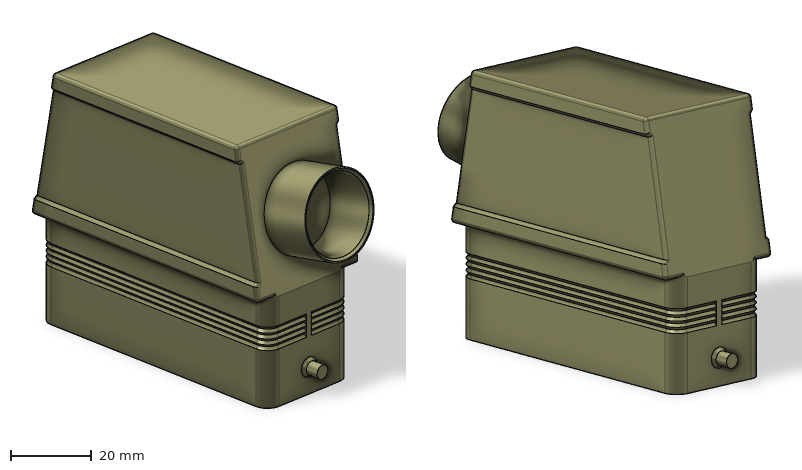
import cadquery as cq
import math

total_length = 96.8

body_length = 79.4
body_width = 29.4
body_corner_radius = 4.0

hood_width = 36.0
hood_bottom_z = 30.0
total_height = 70.5
end_lean_angle = 10.6
hood_edge_radius = 1.0
hood_height = total_height - hood_bottom_z
hood_top_length = body_length - 2 * hood_height * math.tan(math.radians(end_lean_angle))

recess_depth = 0.9
recess_bottom_z = 34.3
recess_top_z = 66.3

groove_count = 4
groove_band_height = 6.4
groove_pitch = groove_band_height / groove_count
groove_depth = 0.7
groove_band_top_z = 22.1
groove_gap_width = 1.8

pin_diameter = 3.8
pin_length = 4.6
pin_z = 7.4
pin_collar_diameter = 5.4
pin_collar_length = 0.9

entry_diameter = 24.1
entry_bore_diameter = 22.0
entry_length = 19.4
entry_mouth_chamfer = 0.7
entry_chamfer_angle = 45
entry_reach_x = total_length - body_length / 2 - pin_length
entry_mouth_x = entry_reach_x - entry_diameter / 2 * math.sin(math.radians(end_lean_angle))
entry_mouth_z = 52.0


def leaning_prism(width):
    """Trapezoid of the hood as seen along Y, extruded symmetrically to a width."""
    return (
        cq.Workplane("XZ")
        .moveTo(-body_length / 2, hood_bottom_z)
        .lineTo(body_length / 2, hood_bottom_z)
        .lineTo(hood_top_length / 2, total_height)
        .lineTo(-hood_top_length / 2, total_height)
        .close()
        .extrude(width / 2, both=True)
    )


def body_block(height, flank_angle=0):
    """Block on Z = 0 with the rounded body outline, its sides leaning inwards by an angle."""
    outline = (
        cq.Sketch()
        .rect(body_length, body_width)
        .vertices()
        .fillet(body_corner_radius)
        .reset()
    )
    return cq.Workplane("XY").placeSketch(outline).extrude(height, taper=flank_angle)


def make_hood():
    """Leaning prism with a recess on each long side and rounded outer edges."""
    hood = leaning_prism(hood_width)
    outer_y = hood_width / 2
    inner_y = outer_y - recess_depth
    for side in (-1, 1):
        recess = (
            cq.Workplane("YZ")
            .moveTo(side * outer_y, recess_bottom_z)
            .lineTo(side * inner_y, recess_bottom_z + recess_depth)
            .lineTo(side * inner_y, recess_top_z - recess_depth)
            .lineTo(side * outer_y, recess_top_z)
            .close()
            .extrude(body_length, both=True)
        )
        hood = hood.cut(recess)
    end_edges = hood.faces("<X or >X").edges()
    cap_edges = hood.faces("<Z or >Z").edges("|X")
    return hood.newObject(end_edges.vals() + cap_edges.vals()).fillet(hood_edge_radius)


def make_body():
    """Body block, continued a little into the hood so that the ends meet it without a gap."""
    neck = body_block(recess_bottom_z).intersect(leaning_prism(hood_width))
    return body_block(hood_bottom_z).union(neck)


def groove_ring(top_z):
    """Ring that cuts one V-shaped groove, following the body outline."""
    half_pitch = groove_pitch / 2
    flank_angle = math.degrees(math.atan2(groove_depth, half_pitch))
    upper_core = body_block(half_pitch, flank_angle).mirror("XY").translate((0, 0, groove_pitch))
    core = body_block(half_pitch, flank_angle).union(upper_core)
    return body_block(groove_pitch).cut(core).translate((0, 0, top_z - groove_pitch))


def make_grooves():
    """All the grooves of the band, left uncut in the middle of each short end."""
    gap = cq.Workplane("XY").box(2 * body_length, groove_gap_width, 2 * total_height)
    grooves = groove_ring(groove_band_top_z)
    for index in range(1, groove_count):
        grooves = grooves.add(groove_ring(groove_band_top_z - index * groove_pitch))
    return grooves.combine().cut(gap)


def make_pin():
    """Pin on the +X end, with a conical collar at its root; both start inside the body."""
    end_x = body_length / 2
    return (
        cq.Workplane("XZ")
        .moveTo(0, 0)
        .lineTo(0, pin_collar_diameter / 2)
        .lineTo(end_x, pin_collar_diameter / 2)
        .lineTo(end_x + pin_collar_length, pin_diameter / 2)
        .lineTo(end_x + pin_length, pin_diameter / 2)
        .lineTo(end_x + pin_length, 0)
        .close()
        .revolve(360, (0, 0, 0), (1, 0, 0))
        .translate((0, 0, pin_z))
    )


def make_cable_entry():
    """Tube on the leaning end, open at the mouth and closed by the hood at its root."""
    lean = math.radians(end_lean_angle)
    mouth = cq.Plane(
        origin=(entry_mouth_x, 0, entry_mouth_z),
        xDir=(0, 1, 0),
        normal=(math.cos(lean), 0, math.sin(lean)),
    )
    tube = cq.Workplane(mouth).circle(entry_diameter / 2).extrude(-entry_length)
    bore = cq.Workplane(mouth).circle(entry_bore_diameter / 2).extrude(-entry_length)
    mouth_cone = (
        cq.Workplane(mouth)
        .circle(entry_bore_diameter / 2 + entry_mouth_chamfer)
        .extrude(-entry_mouth_chamfer, taper=entry_chamfer_angle)
    )
    return tube.cut(bore).cut(mouth_cone)


pin = make_pin()
result = (
    make_body()
    .cut(make_grooves())
    .union(make_hood())
    .union(pin)
    .union(pin.mirror("YZ"))
    .union(make_cable_entry())
)